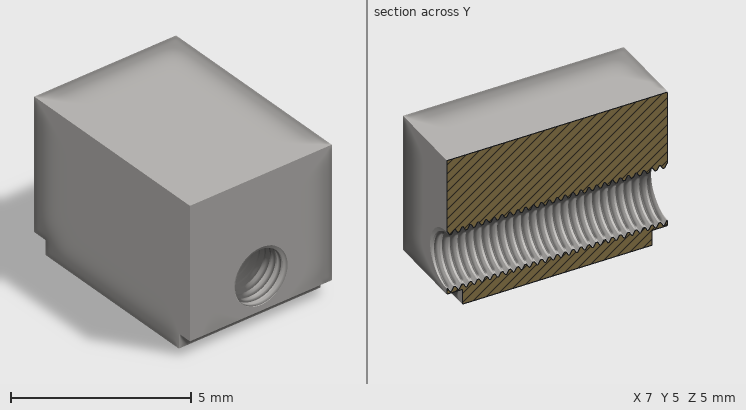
import cadquery as cq
import math

LENGTH = 7.0
WIDTH = 5.0
HEIGHT = 5.0

STEP = 0.5

MINOR_DIAMETER = 1.77
THREAD_TURNS = 28
HOLE_HEIGHT = 1.575
FLANK_ANGLE = 30.0

RIDGE_OVERLAP = 0.03
CORE_OVERRUN = 0.35
SEAM_ANGLE = 37.0

pitch = LENGTH / THREAD_TURNS
minor_radius = MINOR_DIAMETER / 2
sharp_thread_height = pitch / 2 / math.tan(math.radians(FLANK_ANGLE))
thread_depth = 5 / 8 * sharp_thread_height
major_radius = minor_radius + thread_depth
crest_width = pitch / 8
helix_overrun = 2 * pitch
helix_length = LENGTH + 2 * helix_overrun


def stepped_block():
    """Block narrowed along X at its bottom, centred on X and Y and standing on Z = 0."""
    foot = cq.Workplane("XY").box(LENGTH - 2 * STEP, WIDTH, STEP, centered=(True, True, False))
    body = (
        cq.Workplane("XY")
        .workplane(offset=STEP)
        .box(LENGTH, WIDTH, HEIGHT - STEP, centered=(True, True, False))
    )
    return foot.union(body)


def tap_core():
    """Cylinder at the minor diameter, along Z from 0, longer than the helix at both ends."""
    core = (
        cq.Workplane("XY")
        .circle(minor_radius)
        .extrude(helix_length + 2 * CORE_OVERRUN)
        .translate((0, 0, -CORE_OVERRUN))
    )
    return core.rotate((0, 0, 0), (0, 0, 1), SEAM_ANGLE)


def tap_ridge():
    """Helical ridge with a flat crest, along Z from 0, rooted inside the core."""
    inner_radius = minor_radius - RIDGE_OVERLAP
    flank_run = (major_radius - inner_radius) * math.tan(math.radians(FLANK_ANGLE))
    half_crest = crest_width / 2
    half_base = half_crest + flank_run

    helix = cq.Wire.makeHelix(pitch, helix_length, minor_radius)
    return (
        cq.Workplane("XZ")
        .moveTo(inner_radius, -half_base)
        .lineTo(major_radius, -half_crest)
        .lineTo(major_radius, half_crest)
        .lineTo(inner_radius, half_base)
        .close()
        .sweep(cq.Workplane(obj=helix), isFrenet=True)
    )


def tap():
    """Solid that fills the threaded hole; its ridge is centred on top at the -X face."""
    return (
        tap_core()
        .union(tap_ridge())
        .rotate((0, 0, 0), (0, 0, 1), 180)
        .rotate((0, 0, 0), (0, 1, 0), 90)
        .translate((-LENGTH / 2 - helix_overrun, 0, HOLE_HEIGHT))
    )


result = stepped_block().cut(tap())